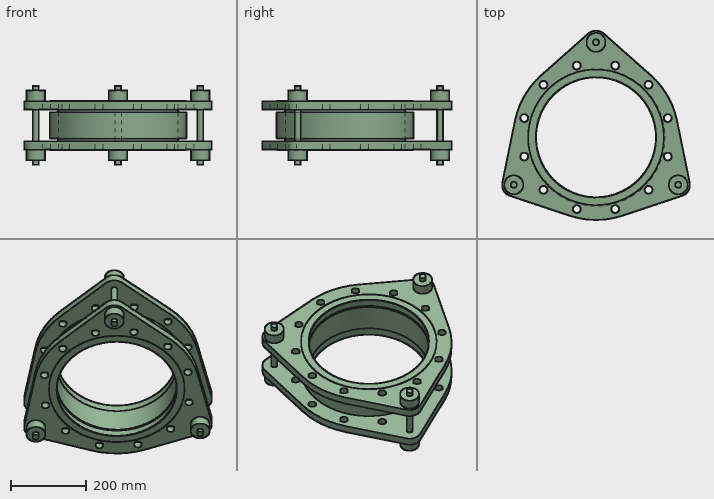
import cadquery as cq
import math


PLATE_OUTER_Z = 64.5
PLATE_THICKNESS = 22.5
PLATE_INNER_Z = PLATE_OUTER_Z - PLATE_THICKNESS
RIM_RADIUS = 220.0
LOBE_RADIUS = 31.0
LOBE_COUNT = 3

BOLT_COUNT = 12
BOLT_CIRCLE_RADIUS = 197.0
BOLT_HOLE_RADIUS = 10.0

ROD_CIRCLE_RADIUS = 252.0
ROD_RADIUS = 8.0
ROD_END_Z = 105.0
SLEEVE_RADIUS = 25.0
SLEEVE_END_Z = 93.0

BORE_RADIUS = 159.0
NECK_RADIUS = 160.0
BODY_RADIUS = 182.0
BODY_HALF_HEIGHT = 35.0
BODY_EDGE_RADIUS = 3.0
NECK_FILLET_RADIUS = 3.0

SEAL_RADIUS = 180.0
SEAL_HEIGHT = 1.0
BORE_EDGE_CHAMFER = 1.0

LOBE_ANGLES = [90 + i * 360 / LOBE_COUNT for i in range(LOBE_COUNT)]


def polar(radius, angle, center=(0, 0)):
    """Point at a polar offset, in degrees, from a center."""
    a = math.radians(angle)
    return (center[0] + radius * math.cos(a), center[1] + radius * math.sin(a))


def disc(radius, half_height):
    """Disc on the Z axis, centred on the XY plane."""
    return cq.Workplane("XY").circle(radius).extrude(half_height, both=True)


def plate(bottom_z):
    """Round rim and three lobes joined by tangent lines, drilled for the flange bolts."""
    tangent = math.degrees(math.acos((RIM_RADIUS - LOBE_RADIUS) / ROD_CIRCLE_RADIUS))
    lobe_pitch = 360 / LOBE_COUNT
    outline = cq.Workplane("XY", origin=(0, 0, bottom_z))
    outline = outline.moveTo(*polar(RIM_RADIUS, LOBE_ANGLES[0] - tangent))
    for angle in LOBE_ANGLES:
        center = polar(ROD_CIRCLE_RADIUS, angle)
        outline = outline.lineTo(*polar(LOBE_RADIUS, angle - tangent, center))
        outline = outline.threePointArc(
            polar(LOBE_RADIUS, angle, center),
            polar(LOBE_RADIUS, angle + tangent, center),
        )
        outline = outline.lineTo(*polar(RIM_RADIUS, angle + tangent))
        outline = outline.threePointArc(
            polar(RIM_RADIUS, angle + lobe_pitch / 2),
            polar(RIM_RADIUS, angle + lobe_pitch - tangent),
        )
    body = outline.close().extrude(PLATE_THICKNESS)

    bolt_pitch = 360 / BOLT_COUNT
    holes = (
        cq.Workplane("XY", origin=(0, 0, bottom_z))
        .polarArray(BOLT_CIRCLE_RADIUS, bolt_pitch / 2, 360, BOLT_COUNT)
        .circle(BOLT_HOLE_RADIUS)
        .extrude(PLATE_THICKNESS)
    )
    return body.cut(holes)


def bellows():
    """Bellows body with rounded shoulders and a short neck at each end, solid until it is bored."""
    body = disc(BODY_RADIUS, BODY_HALF_HEIGHT).edges("%CIRCLE").fillet(BODY_EDGE_RADIUS)
    neck_root_z = BODY_HALF_HEIGHT + NECK_FILLET_RADIUS
    neck_root_radius = NECK_RADIUS + NECK_FILLET_RADIUS
    neck = (
        cq.Workplane("XZ")
        .moveTo(0, 0)
        .lineTo(neck_root_radius, 0)
        .lineTo(neck_root_radius, BODY_HALF_HEIGHT)
        .radiusArc((NECK_RADIUS, neck_root_z), NECK_FILLET_RADIUS)
        .lineTo(NECK_RADIUS, PLATE_INNER_Z)
        .lineTo(0, PLATE_INNER_Z)
        .close()
        .revolve(360, (0, 0, 0), (0, 1, 0))
    )
    return body.union(neck).union(neck.mirror("XY"))


def seal_face():
    """Slightly raised sealing ring on the outer face of the upper flange."""
    return (
        cq.Workplane("XY", origin=(0, 0, PLATE_OUTER_Z))
        .circle(SEAL_RADIUS)
        .extrude(SEAL_HEIGHT)
    )


def bore():
    """Through bore with a chamfered edge at both ends."""
    end_z = PLATE_OUTER_Z + SEAL_HEIGHT
    mouth_radius = BORE_RADIUS + BORE_EDGE_CHAMFER
    mouth = (
        cq.Workplane("XY", origin=(0, 0, end_z))
        .circle(mouth_radius)
        .extrude(-BORE_EDGE_CHAMFER, taper=45)
    )
    return disc(BORE_RADIUS, end_z).union(mouth).union(mouth.mirror("XY"))


def tie_rod(angle):
    """Tie rod with a sleeve standing on the outside of each flange."""
    x, y = polar(ROD_CIRCLE_RADIUS, angle)
    rod = disc(ROD_RADIUS, ROD_END_Z)
    sleeves = disc(SLEEVE_RADIUS, SLEEVE_END_Z).cut(disc(SLEEVE_RADIUS, PLATE_OUTER_Z))
    return rod.union(sleeves).translate((x, y, 0))


upper_end = plate(PLATE_INNER_Z).union(seal_face())
result = bellows().union(upper_end).union(upper_end.mirror("XY")).cut(bore())
for lobe_angle in LOBE_ANGLES:
    result = result.union(tie_rod(lobe_angle))